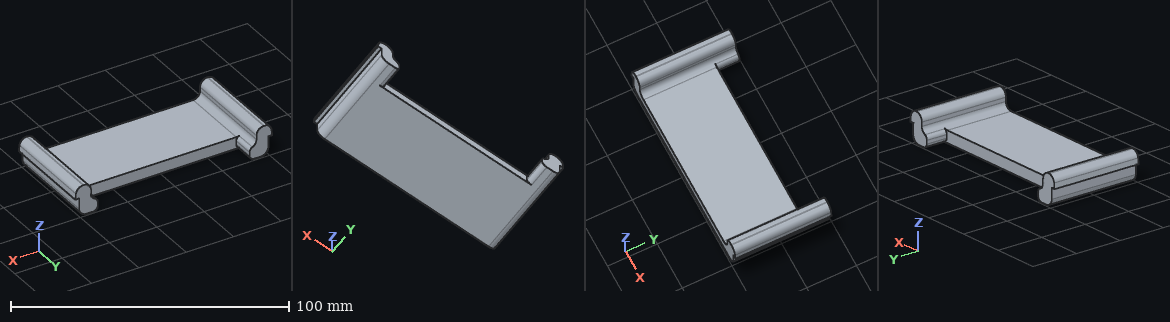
import cadquery as cq
import math

length = 83.2
depth = 38.7
height = 12.65

floor_thickness = 5.0
lip_overhang = 1.6
lip_height = 7.6
wall_thickness = 5.1
inner_radius = 2.9
outer_radius = 3.25

bead_radius = 3.1
bead_flat = 0.25
lip_slope = math.radians(8.5)

notch_depth = 9.15
foot_radius = 2.0

lip_x = length / 2
outer_x = lip_x - lip_overhang
inner_x = outer_x - wall_thickness
floor_end_x = inner_x - inner_radius
bead_z = height - bead_radius
inner_bead_x = inner_x + bead_radius
outer_bead_x = inner_bead_x + bead_flat


def arc_point(center_x, center_z, radius, angle):
    """Point on a circle, with the angle in radians from +X toward +Z."""
    return center_x + radius * math.cos(angle), center_z + radius * math.sin(angle)


def make_right_half():
    """Extrude the right half of the channel section through the full depth."""
    diagonal = math.radians(45)
    slope_end = arc_point(outer_bead_x, bead_z, bead_radius, lip_slope)
    outer_bead_mid = arc_point(outer_bead_x, bead_z, bead_radius, diagonal)
    inner_bead_mid = arc_point(inner_bead_x, bead_z, bead_radius, 3 * diagonal)
    outer_mid = arc_point(outer_x - outer_radius, outer_radius, outer_radius, -diagonal)
    inner_mid = arc_point(floor_end_x, floor_thickness + inner_radius, inner_radius, -diagonal)
    return (
        cq.Workplane("XZ")
        .moveTo(0, 0)
        .lineTo(outer_x - outer_radius, 0)
        .threePointArc(outer_mid, (outer_x, outer_radius))
        .lineTo(outer_x, lip_height)
        .lineTo(lip_x, lip_height)
        .lineTo(*slope_end)
        .threePointArc(outer_bead_mid, (outer_bead_x, height))
        .lineTo(inner_bead_x, height)
        .threePointArc(inner_bead_mid, (inner_x, bead_z))
        .lineTo(inner_x, floor_thickness + inner_radius)
        .threePointArc(inner_mid, (floor_end_x, floor_thickness))
        .lineTo(0, floor_thickness)
        .close()
        .extrude(-depth)
    )


def make_right_notch():
    """Cutter that leaves a rounded foot, blending tangentially into the inner fillet."""
    foot_x = floor_end_x + foot_radius
    center_distance = inner_radius + foot_radius
    rise = math.sqrt(center_distance**2 - foot_radius**2)
    upper_z = floor_thickness + inner_radius - rise
    blend_angle = math.pi - math.acos(foot_radius / center_distance)
    blend_end = arc_point(foot_x, upper_z, foot_radius, blend_angle)
    upper_mid = arc_point(foot_x, upper_z, foot_radius, (blend_angle + math.pi) / 2)
    lower_mid = arc_point(foot_x, foot_radius, foot_radius, math.radians(225))
    return (
        cq.Workplane("XZ", origin=(0, depth - notch_depth, 0))
        .moveTo(0, 0)
        .lineTo(foot_x, 0)
        .threePointArc(lower_mid, (floor_end_x, foot_radius))
        .lineTo(floor_end_x, upper_z)
        .threePointArc(upper_mid, blend_end)
        .lineTo(blend_end[0], height)
        .lineTo(0, height)
        .close()
        .extrude(-notch_depth)
    )


right_half = make_right_half().cut(make_right_notch())
result = right_half.union(right_half.mirror("YZ")).clean()